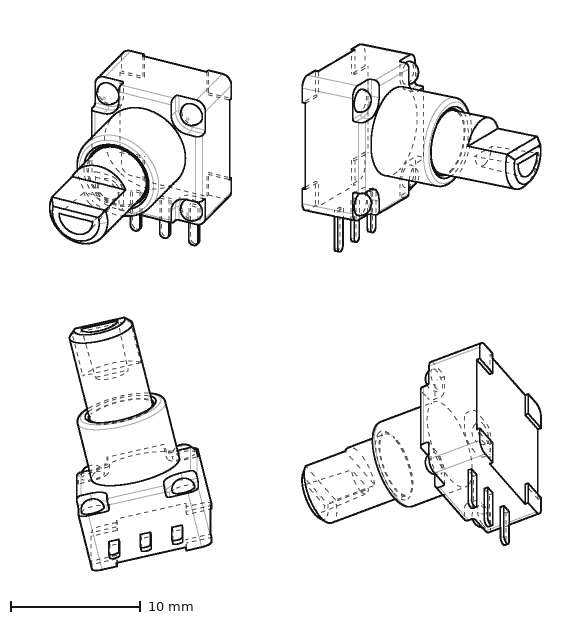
import cadquery as cq
import math


body_width = 9.5
body_height = 11.1
body_depth = 5.43
axis_to_top = 4.85
corner_radius = 0.8
front_edge_radius = 0.4
body_top = axis_to_top
body_bottom = axis_to_top - body_height
body_mid_z = (body_top + body_bottom) / 2

relief_width = 5.5
relief_height = 7.1
relief_depth = 0.28

rivet_spacing_x = 7.2
rivet_spacing_z = 8.5
rivet_top_z = 3.5
rivet_radius = 0.9
rivet_tip_radius = 0.1
pocket_depth = 0.9
pocket_radius = 1.34
pocket_floor_fillet = 0.21
rivet_mid_z = rivet_top_z - rivet_spacing_z / 2

bushing_radius = 3.5
bushing_length = 4.98
bushing_edge_radius = 0.3
mouth_radius = 2.82
mouth_depth = 0.2
mouth_taper = 45

shaft_radius = 2.5
flat_height = 1.0
flat_length = 4.0
tip_chamfer = 0.49
total_depth = 17.4
shaft_reach = total_depth - body_depth
step_distance = shaft_reach - flat_length

socket_radius = 1.45
socket_taper = 2

pin_count = 3
pin_pitch = 2.5
pin_width = 0.8
pin_thickness = 0.31
pin_length = 3.5
pin_rear_gap = 1.8


def plane_at(distance):
    """XZ plane the given distance in front of the housing, facing the shaft tip."""
    return cq.Workplane("XZ", origin=(0, -distance, 0))


def make_housing():
    block = (
        plane_at(-body_depth)
        .center(0, body_mid_z)
        .rect(body_width, body_height)
        .extrude(body_depth)
        .edges("|Y")
        .fillet(corner_radius)
        .faces("<Y")
        .edges()
        .fillet(front_edge_radius)
    )
    relief_plane = plane_at(-body_depth).center(0, body_mid_z)
    upright = relief_plane.rect(relief_width, body_height).extrude(relief_depth)
    crossbar = relief_plane.rect(body_width, relief_height).extrude(relief_depth)
    return block.cut(upright).cut(crossbar)


def rivet_position(side_x, side_z):
    """X and Z of a rivet; each side is -1 or 1."""
    return side_x * rivet_spacing_x / 2, rivet_mid_z + side_z * rivet_spacing_z / 2


def make_pocket(side_x, side_z):
    """Corner pocket, rounded about the rivet and open past the two outer sides."""
    rivet_x, rivet_z = rivet_position(side_x, side_z)
    inner_x = rivet_x - side_x * pocket_radius
    inner_z = rivet_z - side_z * pocket_radius
    outer_x = side_x * body_width
    outer_z = side_z * body_height
    rounded_edge = cq.selectors.NearestToPointSelector((inner_x, pocket_depth / 2, inner_z))
    return (
        plane_at(-pocket_depth)
        .moveTo(inner_x, inner_z)
        .lineTo(outer_x, inner_z)
        .lineTo(outer_x, outer_z)
        .lineTo(inner_x, outer_z)
        .close()
        .extrude(pocket_depth)
        .edges(rounded_edge)
        .fillet(pocket_radius)
        .faces(">Y")
        .edges()
        .fillet(pocket_floor_fillet)
    )


def make_rivet(side_x, side_z):
    """Domed head with a small flat at its tip, standing on the pocket floor."""
    rivet_x, rivet_z = rivet_position(side_x, side_z)
    dome_radius = rivet_radius - rivet_tip_radius
    diagonal = dome_radius * math.sqrt(0.5)
    return (
        cq.Workplane("XY", origin=(rivet_x, pocket_depth, rivet_z))
        .lineTo(rivet_radius, 0)
        .threePointArc((rivet_tip_radius + diagonal, -diagonal), (rivet_tip_radius, -dome_radius))
        .lineTo(0, -dome_radius)
        .close()
        .revolve(360, (0, 0), (0, 1))
    )


def make_bushing():
    """Rounded sleeve whose mouth narrows in a cone to a flat ring around the shaft."""
    sleeve = (
        plane_at(0)
        .circle(bushing_radius)
        .extrude(bushing_length)
        .faces("<Y")
        .edges()
        .fillet(bushing_edge_radius)
    )
    mouth = plane_at(bushing_length).circle(mouth_radius).extrude(-mouth_depth, taper=mouth_taper)
    return sleeve.cut(mouth)


def make_shaft():
    rod = plane_at(0).circle(shaft_radius).extrude(shaft_reach)
    above_flat = (
        plane_at(step_distance)
        .center(0, flat_height + shaft_radius / 2)
        .rect(2 * shaft_radius, shaft_radius)
        .extrude(flat_length)
    )
    socket = (
        plane_at(shaft_reach)
        .moveTo(-socket_radius, 0)
        .threePointArc((0, -socket_radius), (socket_radius, 0))
        .close()
        .extrude(-flat_length, taper=socket_taper)
    )
    return rod.cut(above_flat).faces("<Y").chamfer(tip_chamfer).cut(socket)


def make_pin(x):
    """Flat terminal with a full-round end, hanging from the housing floor."""
    half_width = pin_width / 2
    straight_end = body_bottom - pin_length + half_width
    return (
        plane_at(pin_rear_gap - body_depth)
        .center(x, 0)
        .moveTo(-half_width, body_bottom)
        .lineTo(-half_width, straight_end)
        .threePointArc((0, straight_end - half_width), (half_width, straight_end))
        .lineTo(half_width, body_bottom)
        .close()
        .extrude(pin_thickness)
    )


result = make_housing()

for side_x in (-1, 1):
    for side_z in (-1, 1):
        result = result.cut(make_pocket(side_x, side_z)).union(make_rivet(side_x, side_z))

result = result.union(make_bushing()).union(make_shaft())

for index in range(pin_count):
    result = result.union(make_pin((index - (pin_count - 1) / 2) * pin_pitch))